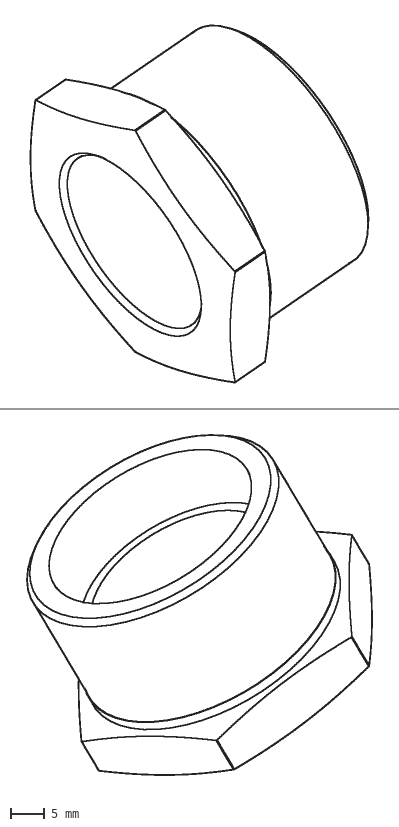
import cadquery as cq
import math

across_flats = 45.0
corner_turn_diameter = 51.87
head_thickness = 8.0
head_chamfer_angle = 16.0

total_length = 30.0
body_diameter = 41.91
body_end_chamfer = 0.9
collar_diameter = 42.1
collar_length = 1.5

front_bore_diameter = 30.29
bore_chamfer = 0.85
front_bore_length = 19.08
rear_bore_diameter = 33.7


def revolve_about_y(points):
    """Revolve a closed (radius, y) outline about the Y axis."""
    return cq.Workplane("XY").polyline(points).close().revolve(360, (0, 0, 0), (0, 1, 0))


def make_head():
    across_corners = across_flats / math.cos(math.radians(30))
    prism = (
        cq.Workplane("XZ")
        .transformed(rotate=(0, 0, 90))
        .polygon(6, across_corners)
        .extrude(-head_thickness)
    )
    face_radius = across_flats / 2
    corner_radius = corner_turn_diameter / 2
    chamfer_depth = (corner_radius - face_radius) * math.tan(math.radians(head_chamfer_angle))
    turned_envelope = revolve_about_y([
        (0, 0),
        (face_radius, 0),
        (corner_radius, chamfer_depth),
        (corner_radius, head_thickness - chamfer_depth),
        (face_radius, head_thickness),
        (0, head_thickness),
    ])
    return prism.intersect(turned_envelope)


def make_body():
    collar_radius = collar_diameter / 2
    body_radius = body_diameter / 2
    collar_end = head_thickness + collar_length
    head_middle = head_thickness / 2
    return revolve_about_y([
        (0, head_middle),
        (collar_radius, head_middle),
        (collar_radius, collar_end),
        (body_radius, collar_end),
        (body_radius, total_length - body_end_chamfer),
        (body_radius - body_end_chamfer, total_length),
        (0, total_length),
    ])


def make_bore():
    front_bore_radius = front_bore_diameter / 2
    rear_bore_radius = rear_bore_diameter / 2
    return revolve_about_y([
        (0, 0),
        (front_bore_radius + bore_chamfer, 0),
        (front_bore_radius, bore_chamfer),
        (front_bore_radius, front_bore_length),
        (rear_bore_radius, front_bore_length),
        (rear_bore_radius, total_length),
        (0, total_length),
    ])


result = make_head().union(make_body()).cut(make_bore())